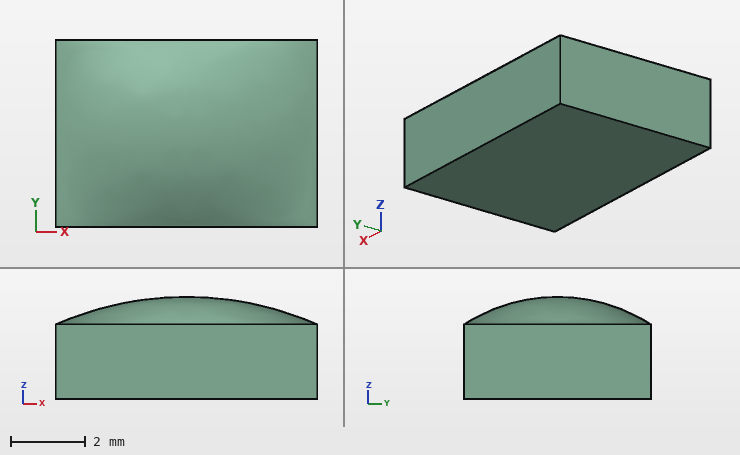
import cadquery as cq

length = 7.0
width = 5.0
wall_height = 2.0
crown_rise = 0.74

half_length = length / 2
half_width = width / 2


def rectangle_corners(z):
    """Corners of the footprint at height z, counter-clockwise seen from above."""
    return [
        cq.Vector(-half_length, -half_width, z),
        cq.Vector(half_length, -half_width, z),
        cq.Vector(half_length, half_width, z),
        cq.Vector(-half_length, half_width, z),
    ]


def flat_face(corners):
    """Flat face bounded by straight lines between the corners."""
    return cq.Face.makeFromWires(cq.Wire.makePolygon(corners, close=True))


def side_walls(bottom, top):
    """Flat rectangular faces joining the bottom corners to the rim corners."""
    next_bottom = bottom[1:] + bottom[:1]
    next_top = top[1:] + top[:1]
    return [flat_face(corners) for corners in zip(bottom, next_bottom, next_top, top)]


def crowned_top(rim):
    """Smooth face with a flat, straight-edged rim, stretched over two crossing arcs."""
    rim_edges = [cq.Edge.makeLine(start, end) for start, end in zip(rim, rim[1:] + rim[:1])]
    apex = cq.Vector(0, 0, wall_height + crown_rise)
    long_arc = cq.Edge.makeThreePointArc(
        cq.Vector(-half_length, 0, wall_height),
        apex,
        cq.Vector(half_length, 0, wall_height),
    )
    short_arc = cq.Edge.makeThreePointArc(
        cq.Vector(0, -half_width, wall_height),
        apex,
        cq.Vector(0, half_width, wall_height),
    )
    return cq.Face.makeNSidedSurface(rim_edges, [long_arc, short_arc])


base_corners = rectangle_corners(0)
rim_corners = rectangle_corners(wall_height)

faces = [
    flat_face(base_corners),
    *side_walls(base_corners, rim_corners),
    crowned_top(rim_corners),
]
body = cq.Solid.makeSolid(cq.Shell.makeShell(faces))

result = cq.Workplane("XY").newObject([body])